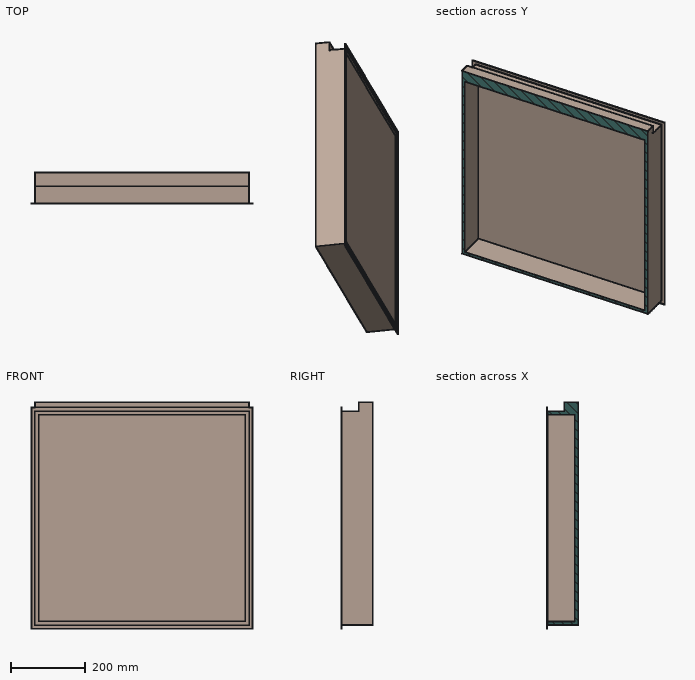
import cadquery as cq

frame_side = 595.0
total_depth = 85.0
total_height = 608.9

frame_thickness = 2.0
frame_width = 10.0

rear_step_depth = 38.0
front_skin = 1.0
wall = 10.0

box_side = frame_side - 2 * frame_width
box_half = box_side / 2
step_front = total_depth - rear_step_depth
step_top = total_height - frame_side / 2
cavity_side = box_side - 2 * wall
cavity_front = frame_thickness + front_skin
cavity_depth = total_depth - wall - cavity_front


def square_block(side, front, depth):
    """Square block centred on the Y axis, reaching from y = front towards +Y."""
    return cq.Workplane("XY").box(side, depth, side).translate((0, front + depth / 2, 0))


def make_frame():
    """Flat ring whose opening has the same outline as the front of the box."""
    plate = square_block(frame_side, 0, frame_thickness)
    opening = square_block(box_side, 0, frame_thickness)
    return plate.cut(opening)


def make_box():
    """Hollow box with a thin front skin and a raised step along its rear top edge."""
    side_profile = [
        (frame_thickness, -box_half),
        (total_depth, -box_half),
        (total_depth, step_top),
        (step_front, step_top),
        (step_front, box_half),
        (frame_thickness, box_half),
    ]
    body = cq.Workplane("YZ").polyline(side_profile).close().extrude(box_half, both=True)
    cavity = square_block(cavity_side, cavity_front, cavity_depth)
    return body.cut(cavity)


frame = make_frame()
box = make_box()

result = cq.Compound.makeCompound([frame.val(), box.val()])